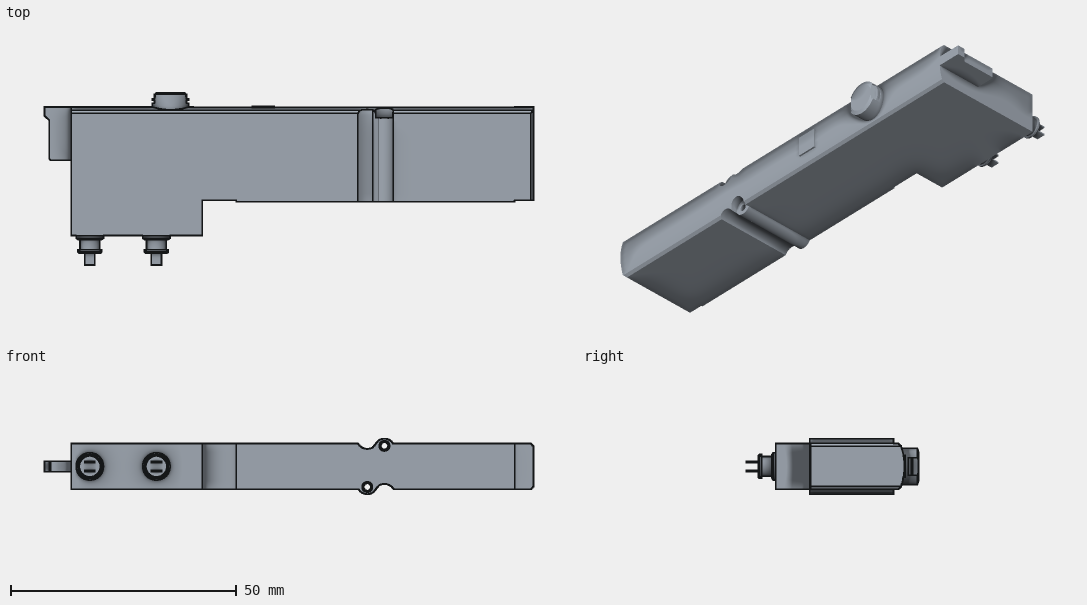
import cadquery as cq
import math


body_length = 102.5
half_height = 5.1
foot_length = 29.1
arm_front = 7.5
relief_depth = 0.3
relief_start_end = 36.6
relief_tip_start = 98.3
rear_crown = 28.5
rear_edge = 27.8
bevel = 0.7
bevel_drop = 0.5

rib_x = 69.4
groove_x = 65.6
rib_radius = 4.5 / 2
rib_height = 1.1
groove_radius = 2.4
groove_depth = 1.2
rib_shoulder = 1.4
groove_shoulder = 1.2
rib_end = 26.1
screw_z = 4.6
screw_hole_diameter = 1.6
screw_mouth_diameter = 2.3
screw_head_diameter = 3.9

latch_reach = 6.0
latch_land = 4.9
latch_height = 2.4
latch_front = 16.7
latch_corner = 0.3
nose_front = 26.6
nose_slope_front = 25.6

connector_count = 2
connector_pitch = 14.8
first_connector_x = 4.1
flange_diameter = 6.1
flange_rim = 0.5
flange_thickness = 0.9
flange_face_diameter = 5.1
neck_diameter = 4.5
cap_diameter = 5.3
cap_top = 3.1
cap_bottom = 3.9
cap_bevel = 0.3
pin_reach = 6.5
pin_width = 2.3
pin_thickness = 0.3
pin_offset = 1.0

knob_x = 22.0
knob_diameter = 8.1
knob_top = 31.7
knob_bevel_height = 0.3
knob_bevel_width = 0.9
grip_width = 3.9
grip_start = 30.4
grip_foot = 3.6
grip_top = 3.1
notch_start = 29.4
notch_end = 30.1
button_x = 42.5
button_size = 4.9
button_height = 0.2

overlap = 1.1


def cylinder_y(x, z, diameter, start, end):
    """Cylinder along Y between two Y positions."""
    return cq.Workplane("XZ", origin=(x, start, z)).circle(diameter / 2).extrude(start - end)


def box(x_range, y_range, z_range):
    """Box between pairs of coordinates."""
    low, high = zip(x_range, y_range, z_range)
    size = [b - a for a, b in zip(low, high)]
    return cq.Workplane("XY").box(*size, centered=False).translate(low)


def turned(shape):
    """Copy turned half a turn about the Y-parallel axis midway between rib and groove."""
    middle = (rib_x + groove_x) / 2
    return shape.rotate((middle, 0, 0), (middle, 1, 0), 180)


def make_body():
    relief = arm_front + relief_depth
    outline = (
        cq.Workplane("XY")
        .polyline([
            (0, 0),
            (foot_length, 0),
            (foot_length, relief),
            (relief_start_end, relief),
            (relief_start_end, arm_front),
            (relief_tip_start, arm_front),
            (relief_tip_start, relief),
            (body_length, relief),
            (body_length, rear_crown + overlap),
            (0, rear_crown + overlap),
        ])
        .close()
        .extrude(half_height, both=True)
    )
    crown_z = half_height - bevel_drop
    end_profile = (
        cq.Workplane("YZ")
        .moveTo(0, -half_height)
        .lineTo(rear_edge - bevel, -half_height)
        .lineTo(rear_edge, -crown_z)
        .threePointArc((rear_crown, 0), (rear_edge, crown_z))
        .lineTo(rear_edge - bevel, half_height)
        .lineTo(0, half_height)
        .close()
        .extrude(body_length)
    )
    outline = outline.faces(">X").edges("|Y").chamfer(bevel)
    return outline.intersect(end_profile)


def make_groove():
    centre_z = half_height - groove_depth + groove_radius
    half_mouth = math.sqrt(groove_radius**2 - (centre_z - half_height)**2)
    flank_foot_z = centre_z - math.sqrt(groove_radius**2 - groove_shoulder**2)
    rib_centre_z = half_height + rib_height - rib_radius
    flank_top_z = rib_centre_z + math.sqrt(rib_radius**2 - rib_shoulder**2)
    flank_foot_x = groove_x + groove_shoulder
    flank_top_x = rib_x - rib_shoulder
    return (
        cq.Workplane("XZ")
        .moveTo(groove_x - half_mouth, half_height)
        .threePointArc((groove_x, half_height - groove_depth), (flank_foot_x, flank_foot_z))
        .lineTo(flank_top_x, flank_top_z)
        .lineTo(groove_x - half_mouth, flank_top_z)
        .close()
        .extrude(-rear_crown)
    )


def make_rib():
    centre_z = half_height + rib_height - rib_radius
    rib = cylinder_y(rib_x, centre_z, 2 * rib_radius, arm_front, rib_end)
    top_z = centre_z + math.sqrt(rib_radius**2 - rib_shoulder**2)
    filler = (
        cq.Workplane("XZ", origin=(0, arm_front, 0))
        .polyline([
            (groove_x, half_height),
            (rib_x - rib_shoulder, top_z),
            (rib_x, half_height),
        ])
        .close()
        .extrude(arm_front - rib_end)
    )
    return rib.union(filler)


def make_screw_hole():
    mouth_bevel = (screw_mouth_diameter - screw_hole_diameter) / 2
    hole = cylinder_y(rib_x, screw_z, screw_hole_diameter, arm_front, rear_crown)
    mouth = (
        cq.Workplane("XZ", origin=(rib_x, arm_front, screw_z))
        .circle(screw_mouth_diameter / 2)
        .extrude(-mouth_bevel, taper=45)
    )
    head = cylinder_y(rib_x, screw_z, screw_head_diameter, rib_end, rear_crown)
    return hole.union(mouth).union(head)


def make_latch():
    return (
        cq.Workplane("XY")
        .polyline([
            (overlap, rear_edge),
            (0, rear_crown),
            (-latch_reach, rear_crown),
            (-latch_reach, nose_front),
            (-latch_land, nose_slope_front),
            (-latch_land, latch_front + latch_corner),
            (-latch_land + latch_corner, latch_front),
            (overlap, latch_front),
        ])
        .close()
        .extrude(latch_height / 2, both=True)
    )


def make_connector(x):
    connector = (
        cq.Workplane("XY")
        .polyline([
            (0, overlap),
            (flange_diameter / 2, overlap),
            (flange_diameter / 2, -flange_rim),
            (flange_face_diameter / 2, -flange_thickness),
            (neck_diameter / 2, -flange_thickness),
            (neck_diameter / 2, -cap_top),
            (cap_diameter / 2, -cap_top),
            (cap_diameter / 2, -cap_bottom + cap_bevel),
            (cap_diameter / 2 - cap_bevel, -cap_bottom),
            (0, -cap_bottom),
        ])
        .close()
        .revolve(360, (0, 0), (0, 1))
    )
    for z in (-pin_offset, pin_offset):
        connector = connector.union(
            box(
                (-pin_width / 2, pin_width / 2),
                (-pin_reach, -cap_top),
                (z - pin_thickness / 2, z + pin_thickness / 2),
            )
        )
    return connector.translate((x, 0, 0))


def make_grip():
    """Cutter for the sloping grip and the notch below it, on the knob's +X side."""
    radius = knob_diameter / 2
    half_width = grip_width / 2
    slope = (
        cq.Workplane("XY")
        .polyline([
            (grip_foot, grip_start),
            (radius, grip_start),
            (radius, knob_top),
            (grip_top, knob_top),
        ])
        .close()
        .extrude(half_width, both=True)
    )
    return slope.union(box((grip_foot, radius), (notch_start, notch_end), (-half_width, half_width)))


def make_knob():
    knob = cylinder_y(0, 0, knob_diameter, rear_edge - overlap, knob_top)
    knob = knob.faces(">Y").chamfer(knob_bevel_height, knob_bevel_width)
    grip = make_grip()
    return knob.cut(grip).cut(grip.mirror("YZ")).translate((knob_x, 0, 0))


def make_button():
    half = button_size / 2
    return box(
        (button_x - half, button_x + half),
        (rear_edge - overlap, rear_crown + button_height),
        (-half, half),
    )


result = make_body()
rib = make_rib()
groove = make_groove()
screw_hole = make_screw_hole()
result = result.union(rib).cut(groove).cut(screw_hole)
result = result.union(turned(rib)).cut(turned(groove)).cut(turned(screw_hole))
result = result.union(make_latch()).union(make_knob()).union(make_button())
for number in range(connector_count):
    result = result.union(make_connector(first_connector_x + number * connector_pitch))